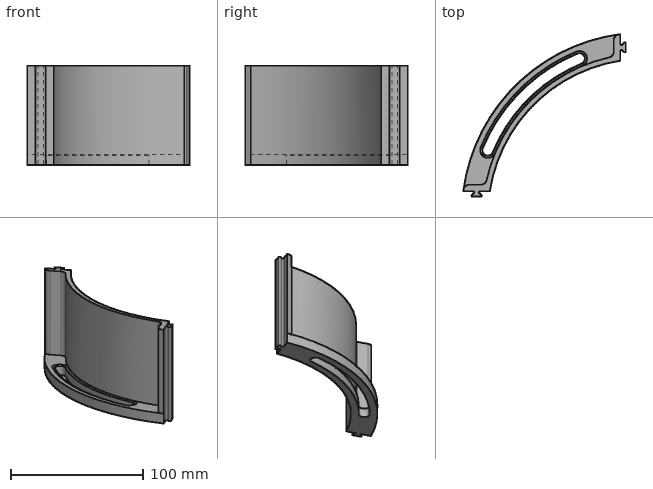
import cadquery as cq
import math

span = 122.8
height = 75.0

outer_radius = 137.8
inner_radius = 117.8
wall_thickness = 4.0
base_thickness = 8.0

end_thickness = 5.0
end_fillet = 4.5

rail_depth = 4.0
rail_root_half_width = 0.9
rail_edge_radius = 0.76

slot_radius = (inner_radius + outer_radius) / 2
slot_half_width = 4.0
slot_half_angle = 22.5
slot_chamfer_width = 1.7
slot_chamfer_depth = 0.7

corner_drop = span - rail_depth
centre_x = (corner_drop + math.sqrt(2 * outer_radius**2 - corner_drop**2)) / 2
centre_y = span - centre_x
end_face_x = span - rail_depth
end_face_y = rail_depth
ring_middle_angle = 135.0


def disc(radius, depth):
    return cq.Workplane("XY").center(centre_x, centre_y).circle(radius).extrude(depth)


def quarter_ring(small_radius, large_radius, depth):
    """Ring piece bounded by the two flat end faces."""
    bounds = cq.Workplane("XY").box(span * 2, span * 2, depth, centered=False)
    bounds = bounds.translate((end_face_x - span * 2, end_face_y, 0))
    ring = disc(large_radius, depth).cut(disc(small_radius, depth))
    return ring.intersect(bounds)


def wall_with_ends():
    """Full-height wall that turns outward into a flat plate at each end."""
    body = quarter_ring(inner_radius, outer_radius, height)
    recess = quarter_ring(inner_radius + wall_thickness, outer_radius, height)
    recess_bounds = cq.Workplane("XY").box(span * 2, span * 2, height, centered=False)
    recess_bounds = recess_bounds.translate(
        (end_face_x - end_thickness - span * 2, end_face_y + end_thickness, 0)
    )
    body = body.cut(recess.intersect(recess_bounds))

    edges = []
    for radius in (inner_radius + wall_thickness, outer_radius):
        face_y = end_face_y + end_thickness
        edge_x = centre_x - math.sqrt(radius**2 - (face_y - centre_y) ** 2)
        edges.append((edge_x, face_y))
        edges.append((span - face_y, span - edge_x))
    for x, y in edges:
        nearest = cq.selectors.NearestToPointSelector((x, y, height / 2))
        body = body.edges(nearest).fillet(end_fillet)
    return body


def slot_cutter(half_width, depth, taper=0):
    """Arc slot with round ends, rising from the XY plane; a negative taper widens it upward."""
    def point(radius, angle):
        turn = math.radians(ring_middle_angle + angle)
        return (centre_x + radius * math.cos(turn), centre_y + radius * math.sin(turn))

    inner = slot_radius - half_width
    outer = slot_radius + half_width
    cap_distance = math.hypot(slot_radius, half_width)
    cap_angle = slot_half_angle + math.degrees(math.atan(half_width / slot_radius))
    return (
        cq.Workplane("XY")
        .moveTo(*point(inner, -slot_half_angle))
        .threePointArc(point(inner, 0), point(inner, slot_half_angle))
        .threePointArc(point(cap_distance, cap_angle), point(outer, slot_half_angle))
        .threePointArc(point(outer, 0), point(outer, -slot_half_angle))
        .threePointArc(point(cap_distance, -cap_angle), point(inner, -slot_half_angle))
        .close()
        .extrude(depth, taper=taper)
    )


def base_flange():
    flange = quarter_ring(inner_radius, outer_radius, base_thickness)
    flange = flange.cut(slot_cutter(slot_half_width, base_thickness))
    return flange.cut(slot_countersink())


def slot_countersink():
    """Tapered cutter that chamfers the slot's upper rim."""
    flare_angle = math.degrees(math.atan(slot_chamfer_width / slot_chamfer_depth))
    cutter = slot_cutter(slot_half_width, slot_chamfer_depth, -flare_angle)
    return cutter.translate((0, 0, base_thickness - slot_chamfer_depth))


def dovetail_rails():
    """One rail on each end face, running the full height."""
    low_outer_x = 0.0
    low_inner_x = centre_x - math.sqrt(inner_radius**2 - (end_face_y - centre_y) ** 2)
    middle_x = (low_outer_x + low_inner_x) / 2
    tip_half_width = rail_root_half_width + rail_depth
    flare = [
        (middle_x - rail_root_half_width, end_face_y),
        (middle_x - tip_half_width, 0),
        (middle_x + tip_half_width, 0),
        (middle_x + rail_root_half_width, end_face_y),
    ]
    backing_y = end_face_y + end_thickness / 2
    backing = [
        (middle_x + tip_half_width, end_face_y),
        (middle_x + tip_half_width, backing_y),
        (middle_x - tip_half_width, backing_y),
        (middle_x - tip_half_width, end_face_y),
    ]
    low_profile = flare + backing
    high_profile = [(span - y, span - x) for x, y in low_profile]
    low_rail = cq.Workplane("XY").polyline(low_profile).close().extrude(height)
    high_rail = cq.Workplane("XY").polyline(high_profile).close().extrude(height)
    for x, y in flare:
        low_edge = cq.selectors.NearestToPointSelector((x, y, height / 2))
        high_edge = cq.selectors.NearestToPointSelector((span - y, span - x, height / 2))
        low_rail = low_rail.edges(low_edge).fillet(rail_edge_radius)
        high_rail = high_rail.edges(high_edge).fillet(rail_edge_radius)
    return low_rail.union(high_rail)


result = wall_with_ends().union(base_flange()).union(dovetail_rails())